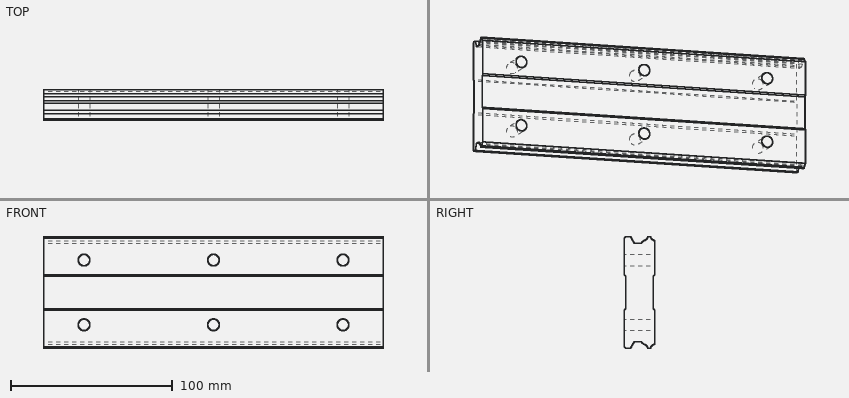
import cadquery as cq
import math

length = 210.0
thickness = 19.0
height = 69.0
half_length = length / 2
half_thickness = thickness / 2
half_height = height / 2

recess_depth = 1.0
recess_floor_width = 20.0

edge_chamfer = 1.0

ridge_width = 2.0
flank_step = 0.5
cove_width = 2.5
cove_drop = 2.5
cove_radius = 3.5

groove_depth = 4.0
groove_wall_angle = 60.0
front_land_width = 3.0

hole_diameter = 7.0
hole_pitch = 80.0
hole_columns = 3
hole_row_spacing = 40.0


def rail_blank():
    """Full envelope block centred on the origin."""
    return cq.Workplane("XY").box(length, thickness, height)


def prism_along_x(section):
    """Extrude a closed YZ section over the whole length of the rail."""
    return section.close().extrude(length)


def section_start(y, z):
    return cq.Workplane("YZ", origin=(-half_length, 0, 0)).moveTo(y, z)


def face_recess():
    """Cutter for the trapezoidal recess in the front (-Y) face."""
    floor_y = -half_thickness + recess_depth
    floor_half = recess_floor_width / 2
    mouth_half = floor_half + recess_depth
    section = (
        section_start(-half_thickness, -mouth_half)
        .lineTo(floor_y, -floor_half)
        .lineTo(floor_y, floor_half)
        .lineTo(-half_thickness, mouth_half)
    )
    return prism_along_x(section)


def corner_cove():
    """Cutter for the stepped cove on the upper back corner."""
    ridge_y = half_thickness - cove_width
    section = (
        section_start(half_thickness, half_height)
        .lineTo(ridge_y, half_height)
        .lineTo(ridge_y, half_height - flank_step)
        .radiusArc((half_thickness, half_height - cove_drop), -cove_radius)
    )
    return prism_along_x(section)


def track_groove():
    """Cutter for the groove in the top: stepped cove, 45 degree slope, flat floor, steep wall."""
    ridge_y = half_thickness - cove_width - ridge_width
    cove_end_y = ridge_y - cove_width
    slope_drop = groove_depth - cove_drop
    floor_z = half_height - groove_depth
    wall_top_y = -half_thickness + edge_chamfer + front_land_width
    wall_foot_y = wall_top_y + groove_depth / math.tan(math.radians(groove_wall_angle))
    section = (
        section_start(ridge_y, half_height)
        .lineTo(ridge_y, half_height - flank_step)
        .radiusArc((cove_end_y, half_height - cove_drop), cove_radius)
        .lineTo(cove_end_y - slope_drop, floor_z)
        .lineTo(wall_foot_y, floor_z)
        .lineTo(wall_top_y, half_height)
    )
    return prism_along_x(section)


def front_edge_chamfer():
    """Cutter for the 45 degree chamfer on the upper front edge."""
    section = (
        section_start(-half_thickness, half_height)
        .lineTo(-half_thickness + edge_chamfer, half_height)
        .lineTo(-half_thickness, half_height - edge_chamfer)
    )
    return prism_along_x(section)


def mounting_holes():
    """Cutters for the holes that run through the thickness."""
    return (
        cq.Workplane("XZ", origin=(0, half_thickness, 0))
        .rarray(hole_pitch, hole_row_spacing, hole_columns, 2)
        .circle(hole_diameter / 2)
        .extrude(thickness)
    )


result = rail_blank()

front_recess = face_recess()
result = result.cut(front_recess).cut(front_recess.mirror("XZ"))

for make_cutter in (corner_cove, track_groove, front_edge_chamfer):
    upper_cutter = make_cutter()
    result = result.cut(upper_cutter).cut(upper_cutter.mirror("XY"))

result = result.cut(mounting_holes())